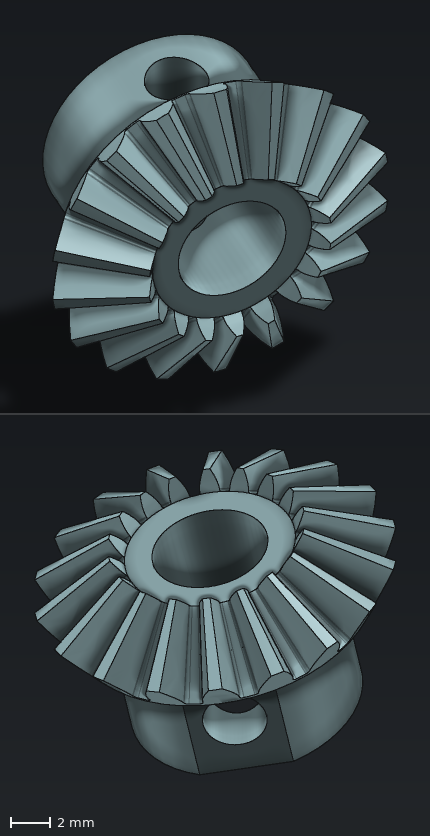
import cadquery as cq
import math


hub_radius = 6.0
hub_length = 6.5
flat_depth = 0.5
bore_radius = 3.0
cross_hole_radius = 1.64
cross_hole_x = hub_length / 2

tooth_count = 18
mating_tooth_count = 12
pitch_radius = 9.0
tip_radius = 9.42
back_face_radius = 7.98
face_width = 4.97
dedendum = 1.49
root_fillet = 0.2
pressure_angle = math.radians(22.5)
profile_shift = -0.25

pitch_angle = math.atan2(tooth_count, mating_tooth_count)
sin_pitch = math.sin(pitch_angle)
cos_pitch = math.cos(pitch_angle)
cone_distance = pitch_radius / sin_pitch
pitch_x = hub_length + (pitch_radius - back_face_radius) * math.tan(pitch_angle)
apex_x = pitch_x + cone_distance * cos_pitch
inner_end_scale = 1 - face_width / cone_distance
addendum = (tip_radius - pitch_radius) / cos_pitch

module = 2 * pitch_radius / tooth_count
spur_pitch_radius = pitch_radius / cos_pitch
spur_base_radius = spur_pitch_radius * math.cos(pressure_angle)
spur_root_radius = spur_pitch_radius - dedendum
cutter_overshoot = 0.56
cutter_outer_radius = spur_pitch_radius + addendum + cutter_overshoot
flank_points = 7

cutter_large_scale = 1.2
cutter_small_scale = inner_end_scale * 0.7


def on_back_cone(height, scale):
    """Axial position and radius of a point at a height above the pitch cone."""
    x = apex_x - scale * (cone_distance * cos_pitch - height * sin_pitch)
    radius = scale * (pitch_radius + height * cos_pitch)
    return x, radius


def involute(angle):
    return math.tan(angle) - angle


def gap_half_angle(radius):
    """Half the angle of the gap between two flanks at a radius of the spur gear."""
    gap_width = module * (math.pi / 2 - 2 * profile_shift * math.tan(pressure_angle))
    at_pitch = gap_width / (2 * spur_pitch_radius)
    roll = math.acos(min(1, spur_base_radius / radius))
    return at_pitch + involute(roll) - involute(pressure_angle)


def gap_wire(scale):
    """Outline of one tooth gap, tangent to the back cone scaled about the apex."""

    def point(radius, angle, side):
        across = side * radius * math.sin(angle)
        up = radius * math.cos(angle) - spur_pitch_radius
        return across * scale, up * scale

    def flank(side):
        step = (cutter_outer_radius - spur_base_radius) / (flank_points - 1)
        radii = [spur_base_radius + i * step for i in range(flank_points)]
        return [point(radius, gap_half_angle(radius), side) for radius in radii]

    wall_angle = gap_half_angle(spur_base_radius)
    fillet_centre_radius = spur_root_radius + root_fillet
    fillet_turn = math.asin(root_fillet / fillet_centre_radius)
    fillet_centre_angle = wall_angle - fillet_turn
    wall_end_radius = fillet_centre_radius * math.cos(fillet_turn)

    def fillet_middle(side):
        across, up = point(fillet_centre_radius, fillet_centre_angle, side)
        direction = math.pi / 4 - wall_angle / 2 - fillet_centre_angle / 2
        reach = root_fillet * scale
        return across + side * reach * math.cos(direction), up - reach * math.sin(direction)

    left = flank(-1)
    right = flank(1)
    normal = (-cos_pitch, 0, sin_pitch)
    distance = scale * cone_distance
    origin = (apex_x - distance * cos_pitch, 0, distance * sin_pitch)
    plane = cq.Plane(origin=origin, xDir=(0, -1, 0), normal=normal)
    outline = (
        cq.Workplane(plane)
        .moveTo(*left[-1])
        .spline(left[-2::-1], includeCurrent=True)
        .lineTo(*point(wall_end_radius, wall_angle, -1))
        .threePointArc(fillet_middle(-1), point(spur_root_radius, fillet_centre_angle, -1))
        .threePointArc(point(spur_root_radius, 0, 1), point(spur_root_radius, fillet_centre_angle, 1))
        .threePointArc(fillet_middle(1), point(wall_end_radius, wall_angle, 1))
        .lineTo(*right[0])
        .spline(right[1:], includeCurrent=True)
        .close()
    )
    return outline.val()


def make_blank():
    """Hub and untoothed gear, turned about X."""
    tip_outer = on_back_cone(addendum, 1)
    tip_inner = on_back_cone(addendum, inner_end_scale)
    root_inner = on_back_cone(-dedendum, inner_end_scale)
    profile = [
        (0, bore_radius),
        (0, hub_radius),
        (hub_length, hub_radius),
        (hub_length, back_face_radius),
        tip_outer,
        tip_inner,
        root_inner,
        (root_inner[0], bore_radius),
    ]
    return cq.Workplane("XY").polyline(profile).close().revolve(360, (0, 0, 0), (1, 0, 0))


def cut_teeth(body):
    """Cut the gaps, leaving a tooth centred on +Z."""
    wires = [gap_wire(cutter_large_scale), gap_wire(cutter_small_scale)]
    gap = cq.Workplane(cq.Solid.makeLoft(wires, True))
    tooth_pitch = 360 / tooth_count
    for i in range(tooth_count):
        body = body.cut(gap.rotate((0, 0, 0), (1, 0, 0), (i + 0.5) * tooth_pitch))
    return body


def cut_hub_flat(body):
    """Flat on the -Z side of the hub, up to the back face of the gear."""
    flat = cq.Workplane("XY").box(hub_length, 2 * hub_radius, flat_depth, centered=(False, True, False))
    return body.cut(flat.translate((0, 0, -hub_radius)))


def cut_cross_hole(body):
    """Hole along Z through both walls of the hub."""
    hole = cq.Workplane("XY").center(cross_hole_x, 0).circle(cross_hole_radius)
    return body.cut(hole.extrude(hub_radius, both=True))


result = cut_cross_hole(cut_hub_flat(cut_teeth(make_blank())))